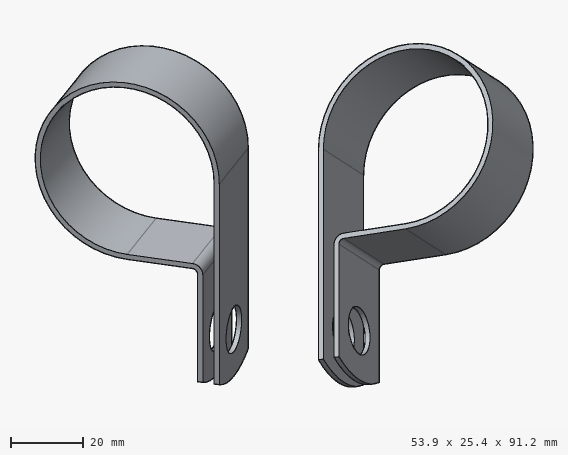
import cadquery as cq

total_height = 91.2
outer_diameter = 53.9
width = 25.4
thickness = 1.55
leg_gap = 3.3
bend_inner_radius = 1.5
hole_diameter = 13.6
hole_height = 14.3
end_radius = 28.8

outer_radius = outer_diameter / 2
inner_radius = outer_radius - thickness
bottom_z = outer_radius - total_height
long_leg_inner_x = inner_radius
short_leg_right_x = long_leg_inner_x - leg_gap
short_leg_left_x = short_leg_right_x - thickness
bend_outer_radius = bend_inner_radius + thickness
bend_x = short_leg_right_x - bend_outer_radius
bend_z = -inner_radius - bend_outer_radius


def make_strip():
    """Bent strip: long leg, three-quarter loop, flat shelf, bend and short leg."""
    profile = (
        cq.Workplane("XZ")
        .moveTo(outer_radius, bottom_z)
        .lineTo(outer_radius, 0)
        .threePointArc((0, outer_radius), (-outer_radius, 0))
        .radiusArc((0, -outer_radius), -outer_radius)
        .lineTo(bend_x, -outer_radius)
        .radiusArc((short_leg_left_x, bend_z), bend_inner_radius)
        .lineTo(short_leg_left_x, bottom_z)
        .lineTo(short_leg_right_x, bottom_z)
        .lineTo(short_leg_right_x, bend_z)
        .radiusArc((bend_x, -inner_radius), -bend_outer_radius)
        .lineTo(0, -inner_radius)
        .radiusArc((-inner_radius, 0), inner_radius)
        .threePointArc((0, inner_radius), (inner_radius, 0))
        .lineTo(long_leg_inner_x, bottom_z)
        .close()
    )
    return profile.extrude(width / 2, both=True)


def make_side_outline():
    """Block bounding the strip in Y and Z, with the rounded lower end."""
    half_width = width / 2
    corner_z = bottom_z + end_radius - (end_radius**2 - half_width**2) ** 0.5
    return (
        cq.Workplane("YZ")
        .moveTo(-half_width, outer_radius)
        .lineTo(-half_width, corner_z)
        .threePointArc((0, bottom_z), (half_width, corner_z))
        .lineTo(half_width, outer_radius)
        .close()
        .extrude(outer_diameter, both=True)
    )


def make_bolt_hole():
    """Cylinder along X that passes through both legs."""
    return (
        cq.Workplane("YZ")
        .center(0, bottom_z + hole_height)
        .circle(hole_diameter / 2)
        .extrude(outer_diameter)
    )


result = make_strip().intersect(make_side_outline()).cut(make_bolt_hole())